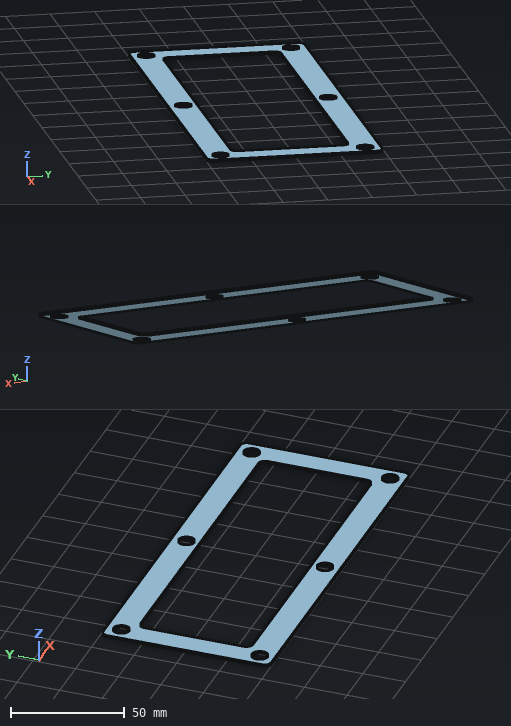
import cadquery as cq

length = 179.0
width = 79.0
thickness = 1.0
corner_radius = 3.0

window_length = 155.0
window_width = 52.6
window_radius = 3.0

hole_diameter = 7.2
hole_spacing_x = 82.3
hole_spacing_y = 65.0
hole_columns = 3
hole_rows = 2


def rounded_plate(size_x, size_y, radius):
    """Flat plate centred on the origin with rounded vertical corners."""
    return cq.Workplane("XY").box(size_x, size_y, thickness).edges("|Z").fillet(radius)


plate = rounded_plate(length, width, corner_radius)
window = rounded_plate(window_length, window_width, window_radius)
frame = plate.cut(window)

result = (
    frame.faces(">Z")
    .workplane(origin=(0, 0, 0))
    .rarray(hole_spacing_x, hole_spacing_y, hole_columns, hole_rows)
    .hole(hole_diameter)
)